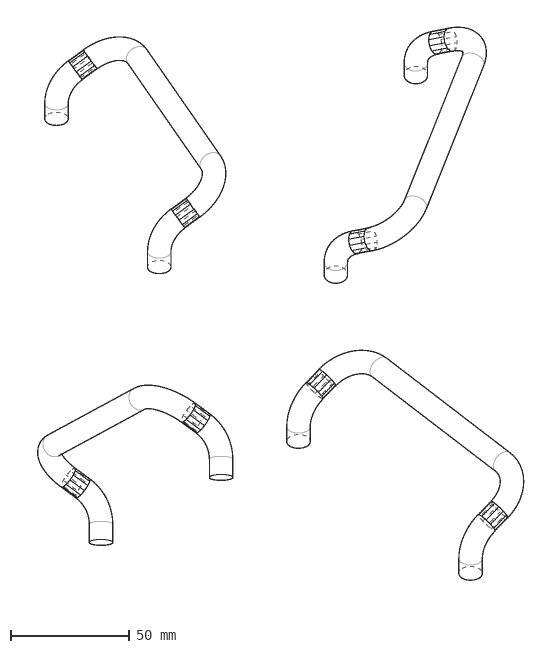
import cadquery as cq
import math

overall_length = 130.0
rod_diameter = 10.0
end_height = 7.9
bend_radius = 17.0
collar_length = 7.8
collar_sides = 12
rake = 60.0

rod_radius = rod_diameter / 2
foot_x = overall_length / 2 - rod_radius
bar_half_length = foot_x - bend_radius
rake_sin = math.sin(math.radians(rake))
rake_cos = math.cos(math.radians(rake))


def foot_bend_point(angle):
    """Centreline point (y, z) of the lower bend, angle degrees after its start."""
    turn = math.radians(angle)
    return (
        bend_radius * (1 - math.cos(turn)),
        end_height + bend_radius * math.sin(turn),
    )


def make_leg(x):
    """Straight foot followed by the bend up to the collar."""
    path = (
        cq.Workplane("YZ", origin=(x, 0, 0))
        .lineTo(0, end_height)
        .threePointArc(foot_bend_point(rake / 2), foot_bend_point(rake))
    )
    return cq.Workplane("XY", origin=(x, 0, 0)).circle(rod_radius).sweep(path)


def collar_plane(x):
    """Plane across the rod at the top of the lower bend, facing up the rake."""
    return cq.Plane(
        origin=(x, *foot_bend_point(rake)), xDir=(1, 0, 0), normal=(0, rake_sin, rake_cos)
    )


def make_collar(x):
    """Twelve-sided straight piece whose corners lie on the rod's surface."""
    return cq.Workplane(collar_plane(x)).polygon(collar_sides, rod_diameter).extrude(collar_length)


def make_grip():
    """U-shaped rod in the raked plane, with a faceted collar at each end."""
    raked_plane = cq.Plane(
        origin=(0, *foot_bend_point(rake)), xDir=(1, 0, 0), normal=(0, -rake_cos, rake_sin)
    )
    bar_offset = collar_length + bend_radius
    bend_middle_step = bend_radius * math.sqrt(0.5)
    bend_middle_x = bar_half_length + bend_middle_step
    bend_middle_offset = collar_length + bend_middle_step
    path = (
        cq.Workplane(raked_plane)
        .moveTo(-foot_x, collar_length)
        .threePointArc((-bend_middle_x, bend_middle_offset), (-bar_half_length, bar_offset))
        .lineTo(bar_half_length, bar_offset)
        .threePointArc((bend_middle_x, bend_middle_offset), (foot_x, collar_length))
    )
    rod_start = cq.Workplane(collar_plane(-foot_x)).workplane(offset=collar_length)
    grip = rod_start.circle(rod_radius).sweep(path)
    for x in (-foot_x, foot_x):
        grip = grip.union(make_collar(x))
    return grip


grip = make_grip()
legs = [make_leg(x) for x in (-foot_x, foot_x)]

result = cq.Compound.makeCompound([grip.solids().val(), *[leg.val() for leg in legs]])